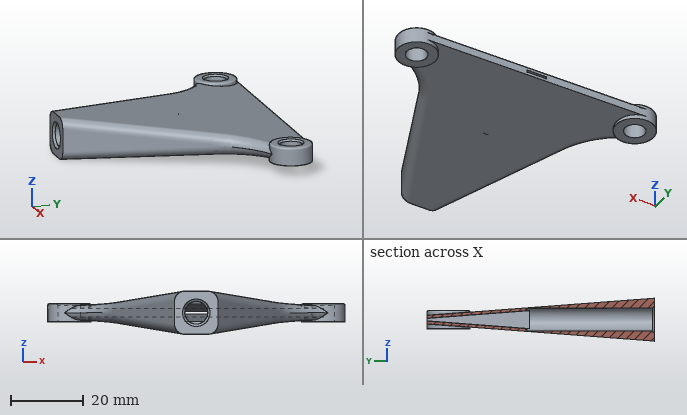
import cadquery as cq
import math

width = 82.0
length = 62.8
nose_size = 12.0

eye_diameter = 12.0
eye_height = 5.1
eye_bore = 6.2
eye_rim_fillet = 0.6
bore_chamfer = 0.5
eye_radius = eye_diameter / 2
eye_x = width / 2 - eye_radius
eye_y = length - eye_radius

rear_thickness = 2.5
side_angle = math.radians(24.3)
blend_radius = 25.4
edge_fillet = 2.6
nose_half = nose_size / 2

nose_bore = 6.2
nose_chamfer = 0.65
nose_bore_depth = 35.25
drill_tip_angle = math.radians(118)
channel_rear_height = 0.65
skin = (rear_thickness - channel_rear_height) / 2
channel_overlap = 0.8
channel_start = nose_bore_depth - channel_overlap


def blend_points():
    """Return the start, middle and end of the right-hand blend arc, nose to eye."""
    along = cq.Vector(math.sin(side_angle), math.cos(side_angle))
    outward = cq.Vector(math.cos(side_angle), -math.sin(side_angle))
    corner = cq.Vector(nose_half, 0)
    eye = cq.Vector(eye_x, eye_y)

    to_eye = eye - corner
    offset = blend_radius - to_eye.dot(outward)
    centre_distance = blend_radius + eye_radius
    travel = to_eye.dot(along) - math.sqrt(centre_distance**2 - offset**2)
    start = corner + along * travel
    centre = start + outward * blend_radius
    end = centre + (eye - centre).normalized() * blend_radius
    middle = centre + ((start + end) * 0.5 - centre).normalized() * blend_radius
    return [(p.x, p.y) for p in (start, middle, end)]


def mirrored(point):
    return (-point[0], point[1])


def top_height(y):
    """Height of the sloping top face above the mid-plane."""
    return nose_half + (rear_thickness / 2 - nose_half) * y / length


def make_half_web():
    """Web with a sloping, rounded top; its straight lower walls run down past the part."""
    start, middle, end = blend_points()
    outline = (
        cq.Workplane("XY", origin=(0, 0, -nose_size))
        .moveTo(nose_half, 0)
        .lineTo(*start)
        .threePointArc(middle, end)
        .lineTo(eye_x, eye_y)
        .lineTo(eye_x, length)
        .lineTo(-eye_x, length)
        .lineTo(-eye_x, eye_y)
        .lineTo(*mirrored(end))
        .threePointArc(mirrored(middle), mirrored(start))
        .lineTo(-nose_half, 0)
        .close()
        .extrude(2 * nose_size)
    )
    taper = (
        cq.Workplane("YZ")
        .polyline([(0, -nose_size), (0, nose_half), (length, rear_thickness / 2), (length, -nose_size)])
        .close()
        .extrude(width / 2, both=True)
    )
    web = outline.intersect(taper)

    rounded_edges = []
    side_middle = ((nose_half + start[0]) / 2, start[1] / 2)
    for x, y in (side_middle, middle):
        z = top_height(y)
        for edge_x in (x, -x):
            nearest = cq.selectors.NearestToPointSelector((edge_x, y, z))
            rounded_edges.append(web.edges(nearest).val())
    return web.newObject(rounded_edges).fillet(edge_fillet)


def make_web():
    """Cross two opposed halves; where the web is thin their fillets meet in a ridge."""
    upper = make_half_web()
    return upper.intersect(upper.mirror("XY"))


def make_eye(x):
    return (
        cq.Workplane("XY", origin=(x, eye_y, -eye_height / 2))
        .circle(eye_radius)
        .extrude(eye_height)
        .faces(">Z")
        .fillet(eye_rim_fillet)
    )


def make_eye_bore(x):
    """Through bore, countersunk at its top mouth."""
    bore_radius = eye_bore / 2
    half_height = eye_height / 2
    profile = [
        (0, -half_height),
        (bore_radius, -half_height),
        (bore_radius, half_height - bore_chamfer),
        (bore_radius + bore_chamfer, half_height),
        (0, half_height),
    ]
    return cq.Workplane("XZ", origin=(x, eye_y, 0)).polyline(profile).close().revolve()


def make_nose_bore():
    """Chamfered hole along Y with a conical drill-tip bottom."""
    bore_radius = nose_bore / 2
    tip_length = bore_radius / math.tan(drill_tip_angle / 2)
    profile = [
        (0, 0),
        (bore_radius + nose_chamfer, 0),
        (bore_radius, nose_chamfer),
        (bore_radius, nose_bore_depth),
        (0, nose_bore_depth + tip_length),
    ]
    return cq.Workplane("XY").polyline(profile).close().revolve(360, (0, 0), (0, 1))


def make_channel():
    """Wedge-shaped passage whose floor and ceiling run parallel to the web faces."""
    front_half = top_height(channel_start) - skin
    rear_half = channel_rear_height / 2
    profile = [
        (channel_start, -front_half),
        (channel_start, front_half),
        (length, rear_half),
        (length, -rear_half),
    ]
    return cq.Workplane("YZ").polyline(profile).close().extrude(nose_bore / 2, both=True)


result = make_web()
for side in (-1, 1):
    result = result.union(make_eye(side * eye_x))
for side in (-1, 1):
    result = result.cut(make_eye_bore(side * eye_x))
result = result.cut(make_nose_bore()).cut(make_channel())